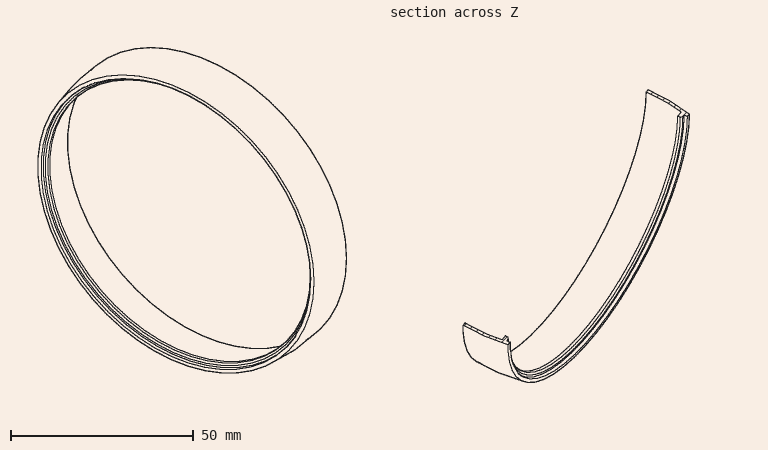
import cadquery as cq

outer_radius = 47.3
front_radius = 46.4
width = 14.0
front_y = -width / 2
back_y = width / 2

taper_end_y = 0.0

wall = 1.0

recess_radius = 45.2
recess_depth = 1.0
cone_mouth_radius = 44.6
cone_length = 0.5

lip_radius = 44.0
lip_length = 0.85

rear_bore_radius = outer_radius - wall
recess_floor_y = front_y + recess_depth
lip_front_y = recess_floor_y + cone_length
lip_back_y = lip_front_y + lip_length

taper_slope = (outer_radius - front_radius) / (taper_end_y - front_y)
flare_start_radius = rear_bore_radius - taper_slope * (taper_end_y - lip_back_y)

section = (
    cq.Workplane("XY")
    .moveTo(outer_radius, back_y)
    .lineTo(outer_radius, taper_end_y)
    .lineTo(front_radius, front_y)
    .lineTo(recess_radius, front_y)
    .lineTo(recess_radius, recess_floor_y)
    .lineTo(cone_mouth_radius, recess_floor_y)
    .lineTo(lip_radius, lip_front_y)
    .lineTo(lip_radius, lip_back_y)
    .lineTo(flare_start_radius, lip_back_y)
    .lineTo(rear_bore_radius, taper_end_y)
    .lineTo(rear_bore_radius, back_y)
    .close()
)

result = section.revolve(360, (0, 0, 0), (0, 1, 0))